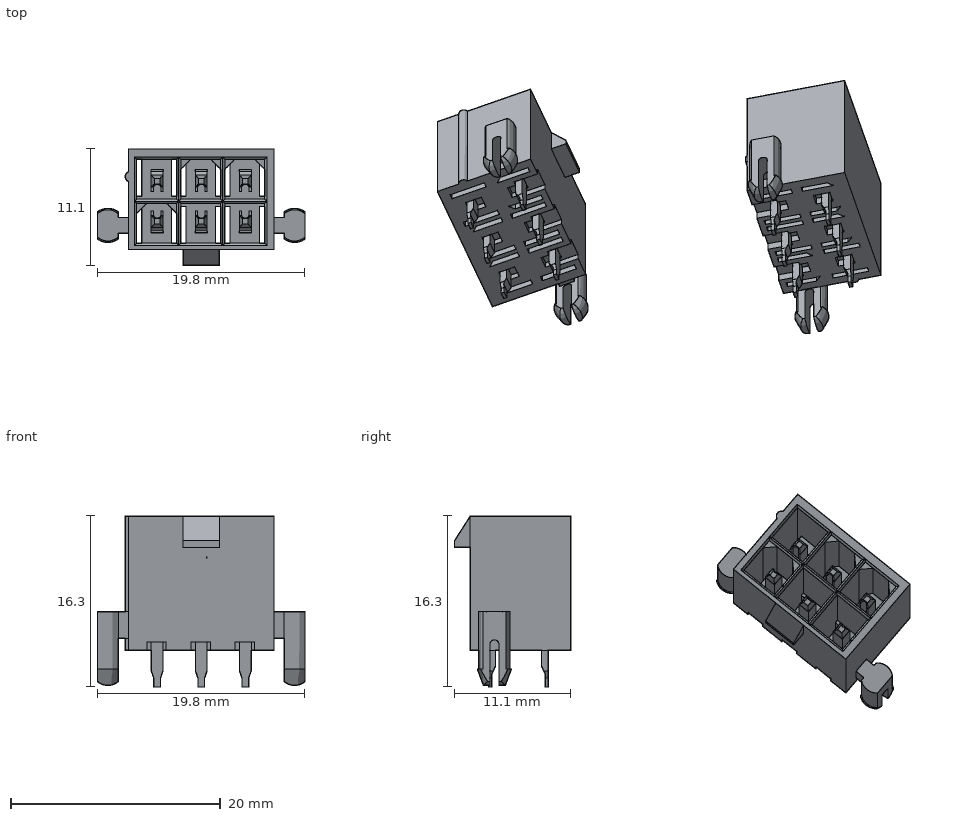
import cadquery as cq
import math


HOUSING_X = 13.9
HOUSING_Y = 9.6
HOUSING_Z = 12.8

COLUMNS = 3
PITCH = 4.2
CELLS_CENTRE_X = -0.05
CELLS_CENTRE_Y = -0.2
LEAD_IN = 0.2
CELL_SIZE = PITCH - 2 * LEAD_IN
FLOOR_Z = 3.0
KEY_LEG = 0.95
CONTACT_COLUMN_X = [(i - (COLUMNS - 1) / 2) * PITCH for i in range(COLUMNS)]
CELL_COLUMN_X = [CELLS_CENTRE_X + x for x in CONTACT_COLUMN_X]
ROW_SIDES = (1, -1)
KEYED_CELLS = ((0, -1), (1, 1), (2, 1))

SIDE_SLOT_X = 0.48
SIDE_SLOT_Y = 3.5

CONTACT_X = 1.14
TAIL_OUTER_REACH = 2.85
TAIL_ROOT_Y = 0.67
TAIL_TIP_X = 0.66
TAIL_TIP_Y = 0.32
TAIL_END_Z = -3.5
TAIL_THINNING_START_Z = -1.5
TAIL_THINNING_END_Z = -2.25
TAIL_NARROWING_START_Z = -1.95
TAIL_NARROWING_END_Z = -2.65
POST_OUTER_REACH = 2.48
POST_INNER_REACH = 1.36
POST_TOP_Z = 9.5
POST_POINT_Z = 0.7
POST_FLAT_X = 0.53
POST_FLAT_Y = 0.53
FOOT_STEP_Z = 0.25
GROOVE_X = 0.72
GROOVE_REACH = 1.62
LEG_INNER_REACH = 0.91
CONTACT_HOLE_OUTER_REACH = 2.99

NOTCH_X = 1.82
NOTCH_Z = 0.78

LATCH_X = 3.45
LATCH_Y = 1.5
LATCH_Z = 3.0
LATCH_LIP_Z = 0.65

RIB_RADIUS = 0.5
RIB_PROTRUSION = 0.3
RIB_Y = 2.15

PEG_SPAN_X = 19.8
PEG_X = 2.0
PEG_Y = -2.5
PEG_RADIUS = 1.49
PEG_TOP_Z = 3.7
PEG_END_Z = -3.35
PEG_END_RADIUS = 1.5
BARB_RADIUS = 1.63
BARB_END_RADIUS = 1.05
BARB_TOP_Z = -1.8
PEG_SLOT_Y = 0.86
PEG_SLOT_TOP_Z = 1.0
ARM_Y = 1.54
ARM_BOTTOM_Z = 1.13


def block(x0, x1, y0, y1, z0, z1):
    """Box between two opposite corners."""
    return cq.Workplane("XY").box(x1 - x0, y1 - y0, z1 - z0, centered=False).translate((x0, y0, z0))


def frustum(size_x, size_y, z0, top_x, top_y, z1, centre_y=0):
    """Rectangular frustum standing on z0, centred on X = 0 and centre_y."""
    return (
        cq.Workplane("XY")
        .workplane(offset=z0)
        .center(0, centre_y)
        .rect(size_x, size_y)
        .workplane(offset=z1 - z0)
        .rect(top_x, top_y)
        .loft(combine=True)
    )


def to_row(shape, x, side):
    """Move a shape drawn for the rear row at X = 0 to x, mirrored for the front row."""
    if side < 0:
        shape = shape.mirror("XZ")
    return shape.translate((x, CELLS_CENTRE_Y, 0))


def cell_cut():
    """Square cell with a 45 degree lead-in."""
    half = CELL_SIZE / 2
    centre_y = PITCH / 2
    lead_in_z = HOUSING_Z - LEAD_IN
    well = block(-half, half, centre_y - half, centre_y + half, FLOOR_Z, lead_in_z)
    mouth = frustum(CELL_SIZE, CELL_SIZE, lead_in_z, PITCH, PITCH, HOUSING_Z, centre_y)
    return well.union(mouth)


def side_slots():
    """Two slots through the cell floor, along the left and right cell walls."""
    half = CELL_SIZE / 2
    outer_y = PITCH / 2 + half
    left_slot = block(-half, -half + SIDE_SLOT_X, outer_y - SIDE_SLOT_Y, outer_y, 0, FLOOR_Z)
    return left_slot.union(left_slot.mirror("YZ"))


def contact_hole():
    """Hole through the cell floor, as wide as the contact, with a gap on its outer side."""
    half = CONTACT_X / 2
    return block(-half, half, POST_INNER_REACH, CONTACT_HOLE_OUTER_REACH, 0, FLOOR_Z)


def corner_keys(x, side):
    """Triangular prisms that fill both rear corners of a keyed cell."""
    half = CELL_SIZE / 2
    rear_y = CELLS_CENTRE_Y + side * PITCH / 2 + half
    left_key = (
        cq.Workplane("XY")
        .polyline([(-half, rear_y), (-half + KEY_LEG, rear_y), (-half, rear_y - KEY_LEG)])
        .close()
        .extrude(HOUSING_Z - LEAD_IN)
    )
    return left_key.union(left_key.mirror("YZ")).translate((x, 0, 0))


def contact():
    """Grooved post with a pyramid point, stepping back to a tapered solder tail."""
    half = CONTACT_X / 2
    tip_half = TAIL_TIP_X / 2
    root_inner = TAIL_OUTER_REACH - TAIL_ROOT_Y
    tip_inner = TAIL_OUTER_REACH - TAIL_TIP_Y
    leg_top_z = FLOOR_Z + FOOT_STEP_Z
    point_z = POST_TOP_Z - POST_POINT_Z

    side_profile = (
        cq.Workplane("YZ")
        .polyline([
            (TAIL_OUTER_REACH, TAIL_END_Z),
            (TAIL_OUTER_REACH, FLOOR_Z),
            (POST_OUTER_REACH, leg_top_z),
            (POST_OUTER_REACH, point_z),
            (POST_INNER_REACH, point_z),
            (POST_INNER_REACH, leg_top_z),
            (LEG_INNER_REACH, leg_top_z),
            (LEG_INNER_REACH, NOTCH_Z),
            (root_inner, NOTCH_Z),
            (root_inner, TAIL_THINNING_START_Z),
            (tip_inner, TAIL_THINNING_END_Z),
            (tip_inner, TAIL_END_Z),
        ])
        .close()
        .extrude(half, both=True)
    )
    front_profile = (
        cq.Workplane("XZ")
        .polyline([
            (-half, POST_TOP_Z),
            (-half, TAIL_NARROWING_START_Z),
            (-tip_half, TAIL_NARROWING_END_Z),
            (-tip_half, TAIL_END_Z),
            (tip_half, TAIL_END_Z),
            (tip_half, TAIL_NARROWING_END_Z),
            (half, TAIL_NARROWING_START_Z),
            (half, POST_TOP_Z),
        ])
        .close()
        .extrude(-HOUSING_Y)
    )
    post_y = POST_OUTER_REACH - POST_INNER_REACH
    post_centre = (POST_OUTER_REACH + POST_INNER_REACH) / 2
    point = frustum(CONTACT_X, post_y, point_z, POST_FLAT_X, POST_FLAT_Y, POST_TOP_Z, post_centre)

    groove_radius = GROOVE_X / 2
    groove_axis_y = GROOVE_REACH - groove_radius
    groove = block(-groove_radius, groove_radius, 0, groove_axis_y, FLOOR_Z, POST_TOP_Z).union(
        cq.Workplane("XY")
        .workplane(offset=FLOOR_Z)
        .center(0, groove_axis_y)
        .circle(groove_radius)
        .extrude(POST_TOP_Z - FLOOR_Z)
    )
    return side_profile.intersect(front_profile).union(point).cut(groove)


def latch():
    """Ramp that slopes out from the top of the front wall to a short vertical lip."""
    front_y = -HOUSING_Y / 2
    bottom_z = HOUSING_Z - LATCH_Z
    return (
        cq.Workplane("YZ")
        .polyline([
            (front_y, HOUSING_Z),
            (front_y - LATCH_Y, bottom_z + LATCH_LIP_Z),
            (front_y - LATCH_Y, bottom_z),
            (front_y, bottom_z),
        ])
        .close()
        .extrude(LATCH_X / 2, both=True)
    )


def rib():
    """Full-height round rib, mostly sunk into the left wall."""
    axis_x = -HOUSING_X / 2 + RIB_RADIUS - RIB_PROTRUSION
    round_bar = cq.Workplane("XY").center(axis_x, RIB_Y).circle(RIB_RADIUS).extrude(HOUSING_Z)
    left_of_wall = block(
        axis_x - RIB_RADIUS, -HOUSING_X / 2, RIB_Y - RIB_RADIUS, RIB_Y + RIB_RADIUS, 0, HOUSING_Z
    )
    return round_bar.intersect(left_of_wall)


def peg():
    """Right-hand split peg with a conical barb, joined to the housing by an arm."""
    half = PEG_X / 2
    turned = (
        cq.Workplane("XZ")
        .polyline([
            (0, PEG_TOP_Z),
            (PEG_RADIUS, PEG_TOP_Z),
            (PEG_RADIUS, BARB_TOP_Z),
            (BARB_RADIUS, BARB_TOP_Z),
            (BARB_END_RADIUS, PEG_END_Z),
            (0, PEG_END_Z),
        ])
        .close()
        .revolve(360, (0, 0, 0), (0, 1, 0))
    )
    end_rise = PEG_END_RADIUS - math.sqrt(PEG_END_RADIUS**2 - half**2)
    slab = (
        cq.Workplane("XZ")
        .moveTo(-half, PEG_TOP_Z)
        .lineTo(-half, PEG_END_Z + end_rise)
        .threePointArc((0, PEG_END_Z), (half, PEG_END_Z + end_rise))
        .lineTo(half, PEG_TOP_Z)
        .close()
        .extrude(BARB_RADIUS, both=True)
    )
    slot_radius = PEG_SLOT_Y / 2
    slot_axis_z = PEG_SLOT_TOP_Z - slot_radius
    slot = block(-half, half, -slot_radius, slot_radius, PEG_END_Z, slot_axis_z).union(
        cq.Workplane("YZ").center(0, slot_axis_z).circle(slot_radius).extrude(half, both=True)
    )
    centre_x = (PEG_SPAN_X - PEG_X) / 2
    arm = block(HOUSING_X / 2 - centre_x, -half, -ARM_Y / 2, ARM_Y / 2, ARM_BOTTOM_Z, PEG_TOP_Z)
    return turned.intersect(slab).cut(slot).union(arm).translate((centre_x, PEG_Y, 0))


def front_notch(x):
    """Notch from the front wall to the inner face of the front solder tail."""
    inner_y = CELLS_CENTRE_Y - TAIL_OUTER_REACH + TAIL_ROOT_Y
    return block(x - NOTCH_X / 2, x + NOTCH_X / 2, -HOUSING_Y / 2, inner_y, 0, NOTCH_Z)


housing = cq.Workplane("XY").box(HOUSING_X, HOUSING_Y, HOUSING_Z, centered=(True, True, False))
for x in CELL_COLUMN_X:
    for side in ROW_SIDES:
        housing = housing.cut(to_row(cell_cut(), x, side))
        housing = housing.cut(to_row(side_slots(), x, side))
    housing = housing.cut(front_notch(x))
for x in CONTACT_COLUMN_X:
    for side in ROW_SIDES:
        housing = housing.cut(to_row(contact_hole(), x, side))
for column, side in KEYED_CELLS:
    housing = housing.union(corner_keys(CELL_COLUMN_X[column], side))

right_peg = peg()
result = housing.union(latch()).union(rib()).union(right_peg).union(right_peg.mirror("YZ"))
for x in CONTACT_COLUMN_X:
    for side in ROW_SIDES:
        result = result.union(to_row(contact(), x, side))